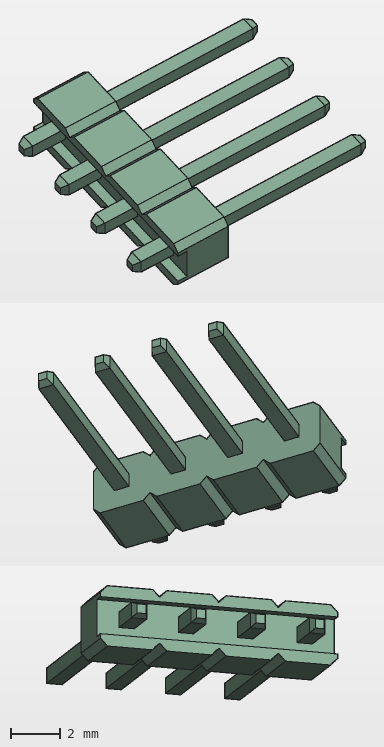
import cadquery as cq


pin_count = 4
pitch = 2.54
housing_length = pin_count * pitch
housing_height = pitch
housing_depth = 2.5
notch_size = 0.3

channel_height = 1.55
channel_depth = 0.45

pin_width = 0.65
tip_width = 0.38
tip_length = 0.32
total_depth = 11.6
front_reach = 1.5
pin_start = -front_reach
pin_end = pin_start + total_depth

pin_centres = [(i - (pin_count - 1) / 2) * pitch for i in range(pin_count)]


def housing_cell(x):
    """One bevelled block of the housing; neighbouring bevels form the V notches."""
    return (
        cq.Workplane("XY")
        .box(pitch, housing_depth, housing_height)
        .edges("|Y")
        .chamfer(notch_size)
        .translate((x, housing_depth / 2, 0))
    )


def front_channel():
    """Cutter for the channel that runs the full length of the front face."""
    return (
        cq.Workplane("XY")
        .box(housing_length, channel_depth, channel_height)
        .translate((0, channel_depth / 2, 0))
    )


def pin_tip(x, y_base, direction):
    """Tapered pin end, narrowing from y_base along direction (+1 or -1 in Y)."""
    base = cq.Plane(origin=(x, y_base, 0), xDir=(1, 0, 0), normal=(0, direction, 0))
    return (
        cq.Workplane(base)
        .rect(pin_width, pin_width)
        .workplane(offset=tip_length)
        .rect(tip_width, tip_width)
        .loft(ruled=True)
    )


def pin(x):
    """Square pin with a tapered tip at both ends."""
    shank_start = pin_start + tip_length
    shank_end = pin_end - tip_length
    shank = (
        cq.Workplane("XY")
        .box(pin_width, shank_end - shank_start, pin_width)
        .translate((x, (shank_start + shank_end) / 2, 0))
    )
    return shank.union(pin_tip(x, shank_start, -1)).union(pin_tip(x, shank_end, 1))


housing = housing_cell(pin_centres[0])
for centre in pin_centres[1:]:
    housing = housing.union(housing_cell(centre))
housing = housing.clean().cut(front_channel())

result = housing
for centre in pin_centres:
    result = result.union(pin(centre))